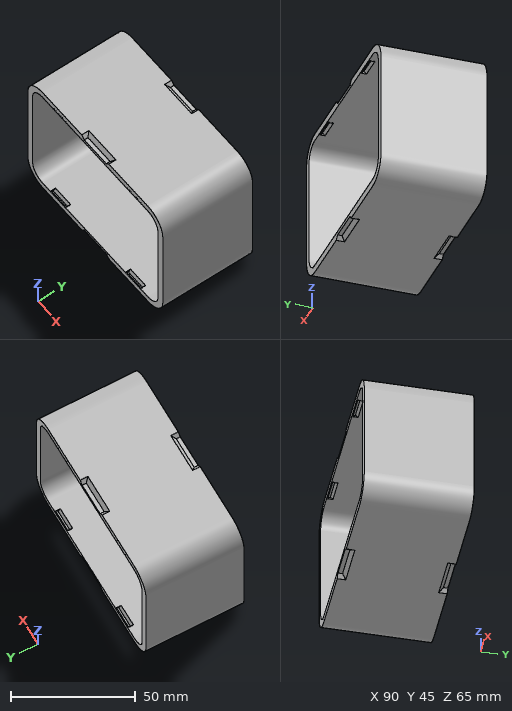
import cadquery as cq
import math

width = 90.0
depth = 45.0
height = 65.0
wall = 3.2
outer_radius = 10.0
inner_radius = outer_radius - wall

notch_width = 18.0
notch_length = 3.5
notch_bevel = 1.6

groove_length = 10.0
groove_opening = 2.2
groove_offset_x = 25.0
groove_edge_gap = 0.45


def rounded_bar(size_x, size_z, radius):
    """Solid bar along Y with rounded long edges."""
    return cq.Workplane("XY").box(size_x, depth, size_z).edges("|Y").fillet(radius)


def top_notch_cutter():
    """Cutter for the top notch at the -Y end, with three sloping sides.

    The frustum is centred on the end face, so half of it lies outside the part.
    """
    return (
        cq.Workplane("XY", origin=(0, -depth / 2, height / 2 - notch_bevel))
        .rect(notch_width - 2 * notch_bevel, 2 * (notch_length - notch_bevel))
        .workplane(offset=notch_bevel)
        .rect(notch_width, 2 * notch_length)
        .loft(ruled=True)
    )


def floor_groove_cutter(side):
    """Cutter for one floor groove near the -Y end, on the given X side.

    It is a square bar along X, standing on its edge and centred on the floor surface.
    """
    floor_z = wall - height / 2
    centre_y = groove_edge_gap + groove_opening / 2 - depth / 2
    bar_side = groove_opening / math.sqrt(2)
    return (
        cq.Workplane("XY")
        .box(groove_length, bar_side, bar_side)
        .rotate((0, 0, 0), (1, 0, 0), 45)
        .translate((side * groove_offset_x, centre_y, floor_z))
    )


def cut_at_all_corners(body, cutter):
    """Cut with a cutter and its mirror images across the XY and XZ planes."""
    pair = cutter.union(cutter.mirror("XZ"))
    return body.cut(pair).cut(pair.mirror("XY"))


sleeve = rounded_bar(width, height, outer_radius).cut(
    rounded_bar(width - 2 * wall, height - 2 * wall, inner_radius)
)
sleeve = cut_at_all_corners(sleeve, top_notch_cutter())
for side in (-1, 1):
    sleeve = cut_at_all_corners(sleeve, floor_groove_cutter(side))

result = sleeve